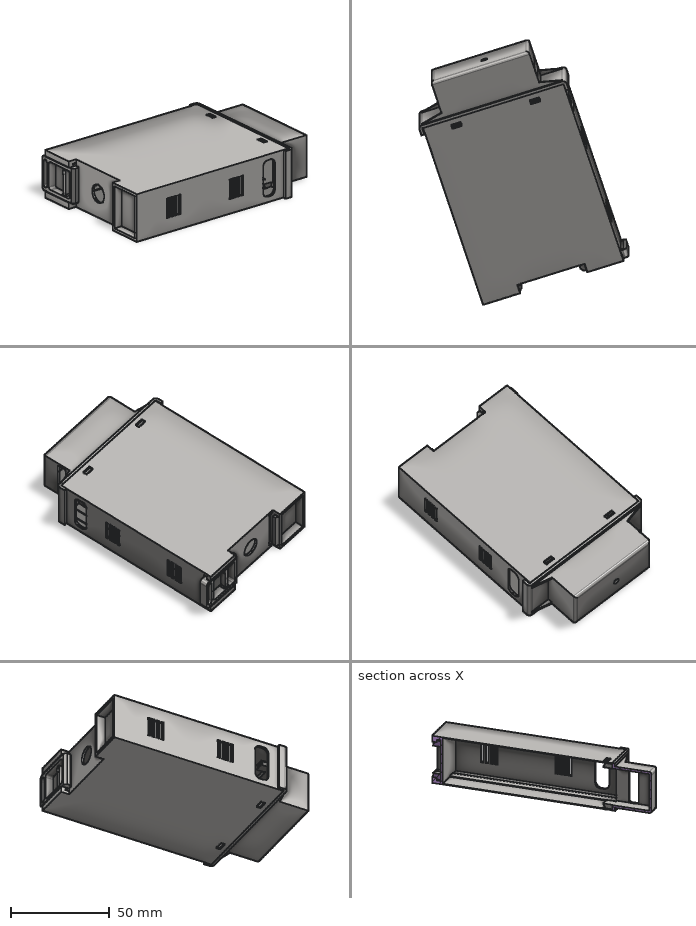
import cadquery as cq
HOUSING_WIDTH = 75.0
HOUSING_LENGTH = 98.2
THICKNESS = 26.2
WALL = 1.2
FACE_WALL = 0.7
FOOT_WALL = 1.5
SIDE = HOUSING_WIDTH / 2
FACE = THICKNESS / 2

RECESS_LEFT = -18.1
RECESS_RIGHT = 17.7
FOOT_HEIGHT = 4.7
FLOOR_INSIDE = FOOT_HEIGHT + WALL
FLOOR_HOLE_RADIUS = 4.9

PAD_LEFT = -32.2
PAD_WIDTH = 4.5
PAD_HEIGHT = 0.5

HOOK_REACH = 1.5
HOOK_BOTTOM = 0.4
HOOK_TOP = 3.4
HOOK_HEIGHT = 21.3
HOOK_OPENING = 2.9
HOOK_OPENING_HEIGHT = 22.3

WINDOW_Y = 85.7
WINDOW_LENGTH = 7.8
WINDOW_HEIGHT = 20.1
WINDOW_RADIUS = 3.1
VENT_WIDTH = 1.4
VENT_PITCH = 2.5
VENT_COUNT = 4
VENT_TOP = 5.6
FAR_VENT_BOTTOM = -5.0
VENT_GROUPS = (20.2, 60.7)

SNAP_X = 21.0
SNAP_WIDTH = 5.0
SNAP_START = 93.2
SNAP_CREST = 94.8
SNAP_END = 95.5

COVER_CENTRE = 0.2
COVER_WIDTH = 78.6
COVER_WALL = 1.5
SKIRT_LENGTH = 3.5
FLANGE_RADIUS = 1.9
TOTAL_LENGTH = 119.8
TOWER_WIDTH = 52.1
TOWER_THICKNESS = 23.0
TOWER_WINDOW_Y = 107.6
TOWER_WINDOW_LENGTH = 5.4
TOWER_WINDOW_HEIGHT = 20.1
TOWER_WINDOW_RADIUS = 1.2
GUSSET_THICKNESS = 1.2
GUSSET_RISE = 2.6
GUSSET_RUN = 11.4
LED_X = -2.2
LED_Z = -1.3
LED_RADIUS = 1.5
FLANGE_TOP = HOUSING_LENGTH + COVER_WALL
TOWER_LEFT = COVER_CENTRE - TOWER_WIDTH / 2
TOWER_INSIDE_FACE = TOWER_THICKNESS / 2 - COVER_WALL

CLIP_LEFT = -40.4
CLIP_RIGHT = -15.1
CLIP_BOTTOM = 0.4
LEAD_IN_WIDTH = 1.3
LEAD_IN_RISE = 1.7
BARB_TOP = 3.7
BARB_DEPTH = 0.7
CLIP_HALF = 9.6
CLIP_RADIUS = 1.9
RAIL_LEFT = -34.7
RAIL_HALF = 10.8
GROOVE_HALF = 11.1
GROOVE_WIDTH = 1.9
OPENING_HEIGHT = 15.2
OPENING_RADIUS = 1.3
PULL_SLOT_X = -37.7
PULL_SLOT_WIDTH = 2.8
SPRING_WINDOW_LEFT = -34.9
SPRING_WINDOW_RIGHT = -17.7
TONGUE_X = -23.4
TONGUE_WIDTH = 2.0
TONGUE_TOP = 6.7
TONGUE_FRONT = 1.3
TONGUE_BACK = 4.2
TONGUE_FLARE = 0.7
BUMP_BOTTOM = 3.6
BUMP_REACH = 0.4


def box(x0, x1, y0, y1, z0, z1):
    """Block between two opposite corners."""
    return cq.Workplane("XY").box(x1 - x0, y1 - y0, z1 - z0, centered=False).translate((x0, y0, z0))


def side_opening(x0, x1, y_centre, length, height, radius):
    """Rounded cutter that runs along X."""
    return (
        box(x0, x1, y_centre - length / 2, y_centre + length / 2, -height / 2, height / 2)
        .edges("|X")
        .fillet(radius)
    )


def side_vents():
    """Cutters for the vents; those on the right side start slightly higher."""
    cutters = cq.Workplane("XY")
    for group in VENT_GROUPS:
        for index in range(VENT_COUNT):
            y0 = group + index * VENT_PITCH - VENT_WIDTH / 2
            y1 = y0 + VENT_WIDTH
            cutters = cutters.add(box(-SIDE, 0, y0, y1, -VENT_TOP, VENT_TOP))
            cutters = cutters.add(box(0, SIDE, y0, y1, FAR_VENT_BOTTOM, VENT_TOP))
    return cutters.combine()


def fixed_hook():
    """Rail hook on the inner side of the right foot."""
    tip = RECESS_RIGHT - HOOK_REACH
    return (
        cq.Workplane("XY")
        .polyline([
            (RECESS_RIGHT, HOOK_BOTTOM),
            (tip, HOOK_BOTTOM + HOOK_REACH),
            (tip, HOOK_TOP),
            (RECESS_RIGHT, HOOK_TOP),
        ])
        .close()
        .extrude(HOOK_HEIGHT / 2, both=True)
    )


def make_housing():
    inside_face = FACE - FACE_WALL
    body = box(-SIDE, SIDE, 0, HOUSING_LENGTH, -FACE, FACE)
    body = body.cut(box(-SIDE + WALL, SIDE - WALL, FLOOR_INSIDE, HOUSING_LENGTH, -inside_face, inside_face))
    body = body.cut(box(RECESS_LEFT, RECESS_RIGHT, 0, FOOT_HEIGHT, -FACE, FACE))
    body = body.union(
        box(
            PAD_LEFT, PAD_LEFT + PAD_WIDTH,
            FLOOR_INSIDE, HOUSING_LENGTH,
            -inside_face, -inside_face + PAD_HEIGHT,
        )
    )

    body = body.cut(
        box(
            RECESS_RIGHT + FOOT_WALL, SIDE - FOOT_WALL,
            0, FOOT_HEIGHT,
            -FACE + FOOT_WALL, FACE - FOOT_WALL,
        )
    )
    body = body.union(fixed_hook())
    half_opening = HOOK_OPENING_HEIGHT / 2
    body = body.cut(
        box(
            RECESS_RIGHT - HOOK_OPENING, RECESS_RIGHT,
            FOOT_HEIGHT, FLOOR_INSIDE,
            -half_opening, half_opening,
        )
    )

    body = body.cut(box(-SIDE, RECESS_LEFT, 0, FOOT_HEIGHT, -CLIP_HALF, CLIP_HALF))
    body = body.cut(
        box(-SIDE, RECESS_LEFT, FOOT_HEIGHT - GROOVE_WIDTH, FOOT_HEIGHT, -GROOVE_HALF, GROOVE_HALF)
    )

    body = body.cut(
        cq.Workplane("XZ").circle(FLOOR_HOLE_RADIUS).extrude(-FLOOR_INSIDE)
    )

    body = body.cut(side_opening(-SIDE, SIDE, WINDOW_Y, WINDOW_LENGTH, WINDOW_HEIGHT, WINDOW_RADIUS))
    body = body.cut(side_vents())

    for x in (-SNAP_X, SNAP_X):
        body = body.cut(
            box(x - SNAP_WIDTH / 2, x + SNAP_WIDTH / 2, SNAP_START, SNAP_END, -FACE, FACE)
        )
    return body


def snap_arm(x, side):
    """Arm from the flange with a ramped catch that fills a snap slot; side is +1 or -1 in Z."""
    inner = TOWER_INSIDE_FACE
    outer = FACE - FACE_WALL
    profile = [
        (FLANGE_TOP, inner),
        (SNAP_START, inner),
        (SNAP_CREST, FACE),
        (SNAP_END, FACE),
        (SNAP_END, outer),
        (FLANGE_TOP, outer),
    ]
    return (
        cq.Workplane("YZ")
        .polyline([(y, side * z) for y, z in profile])
        .close()
        .extrude(SNAP_WIDTH / 2, both=True)
        .translate((x, 0, 0))
    )


def gusset(side_x, side_z):
    """Thin triangular web between tower and flange, flush with a tower face."""
    foot = COVER_CENTRE + side_x * TOWER_WIDTH / 2
    outer = TOWER_THICKNESS / 2
    return (
        cq.Workplane("XY")
        .polyline([
            (foot, FLANGE_TOP),
            (foot + side_x * GUSSET_RUN, FLANGE_TOP),
            (foot, FLANGE_TOP + GUSSET_RISE),
        ])
        .close()
        .extrude(GUSSET_THICKNESS)
        .translate((0, 0, outer - GUSSET_THICKNESS if side_z > 0 else -outer))
    )


def make_cover():
    left = COVER_CENTRE - COVER_WIDTH / 2
    right = COVER_CENTRE + COVER_WIDTH / 2
    skirt_end = HOUSING_LENGTH - SKIRT_LENGTH

    body = box(left, right, skirt_end, FLANGE_TOP, -FACE, FACE).edges("|Z and >Y").fillet(FLANGE_RADIUS)
    body = body.cut(
        box(left + COVER_WALL, right - COVER_WALL, skirt_end, HOUSING_LENGTH, -FACE, FACE)
    )

    tower_right = TOWER_LEFT + TOWER_WIDTH
    half = TOWER_THICKNESS / 2
    tower = box(TOWER_LEFT, tower_right, HOUSING_LENGTH, TOTAL_LENGTH, -half, half)
    tower = tower.faces(">Y").edges().fillet(COVER_WALL)
    body = body.union(tower)
    for side_x in (-1, 1):
        for side_z in (-1, 1):
            body = body.union(gusset(side_x, side_z))
    body = body.cut(
        box(
            TOWER_LEFT + COVER_WALL, tower_right - COVER_WALL,
            HOUSING_LENGTH, TOTAL_LENGTH - COVER_WALL,
            -TOWER_INSIDE_FACE, TOWER_INSIDE_FACE,
        )
    )

    body = body.cut(
        side_opening(
            TOWER_LEFT, TOWER_LEFT + COVER_WALL,
            TOWER_WINDOW_Y, TOWER_WINDOW_LENGTH, TOWER_WINDOW_HEIGHT, TOWER_WINDOW_RADIUS,
        )
    )
    body = body.cut(
        cq.Workplane("XZ", origin=(LED_X, TOTAL_LENGTH, LED_Z)).circle(LED_RADIUS).extrude(2 * COVER_WALL)
    )

    for x in (-SNAP_X, SNAP_X):
        for side in (-1, 1):
            body = body.union(snap_arm(x, side))
    return body


def clip_blank():
    """Clip outline with the rail hook at its right end."""
    return (
        cq.Workplane("XY")
        .polyline([
            (CLIP_LEFT, CLIP_BOTTOM),
            (CLIP_RIGHT - LEAD_IN_WIDTH, CLIP_BOTTOM),
            (CLIP_RIGHT, CLIP_BOTTOM + LEAD_IN_RISE),
            (CLIP_RIGHT, BARB_TOP),
            (CLIP_RIGHT - BARB_DEPTH, BARB_TOP),
            (CLIP_RIGHT - BARB_DEPTH, FOOT_HEIGHT),
            (CLIP_LEFT, FOOT_HEIGHT),
        ])
        .close()
        .extrude(CLIP_HALF, both=True)
        .edges("|Y and <X")
        .fillet(CLIP_RADIUS)
    )


def spring_tongue():
    """Upright tongue with a flared base, a round tip and a small bump on its left."""
    base = -OPENING_HEIGHT / 2
    left = TONGUE_X - TONGUE_WIDTH / 2
    right = TONGUE_X + TONGUE_WIDTH / 2
    shoulder = TONGUE_TOP - TONGUE_WIDTH / 2
    depth = TONGUE_BACK - TONGUE_FRONT
    tongue = (
        cq.Workplane("XZ", origin=(0, TONGUE_BACK, 0))
        .moveTo(left - TONGUE_FLARE, base)
        .lineTo(left, base + TONGUE_FLARE)
        .lineTo(left, shoulder)
        .threePointArc((TONGUE_X, TONGUE_TOP), (right, shoulder))
        .lineTo(right, base + TONGUE_FLARE)
        .lineTo(right + TONGUE_FLARE, base)
        .close()
        .extrude(depth)
    )
    bump = box(left - BUMP_REACH, TONGUE_X, TONGUE_FRONT, TONGUE_BACK, BUMP_BOTTOM, shoulder)
    return tongue.union(bump)


def guide_rails():
    """Rails on both long edges of the clip that slide in the grooves of the foot."""
    rails = cq.Workplane("XY")
    for z0, z1 in ((-RAIL_HALF, -CLIP_HALF), (CLIP_HALF, RAIL_HALF)):
        rails = rails.add(box(RAIL_LEFT, RECESS_LEFT, FOOT_HEIGHT - GROOVE_WIDTH, FOOT_HEIGHT, z0, z1))
    return rails.combine()


def make_clip():
    half = OPENING_HEIGHT / 2
    body = clip_blank()
    pull_slot = (
        cq.Workplane("XZ", origin=(PULL_SLOT_X, 0, 0))
        .slot2D(OPENING_HEIGHT, PULL_SLOT_WIDTH, 90)
        .extrude(-FOOT_HEIGHT)
    )
    spring_window = (
        box(SPRING_WINDOW_LEFT, SPRING_WINDOW_RIGHT, 0, FOOT_HEIGHT, -half, half)
        .edges("|Y")
        .fillet(OPENING_RADIUS)
    )
    return body.cut(pull_slot).cut(spring_window).union(spring_tongue()).union(guide_rails())


housing = make_housing()
cover = make_cover()
clip = make_clip()
result = cq.Compound.makeCompound([housing.val(), cover.val(), clip.val()])